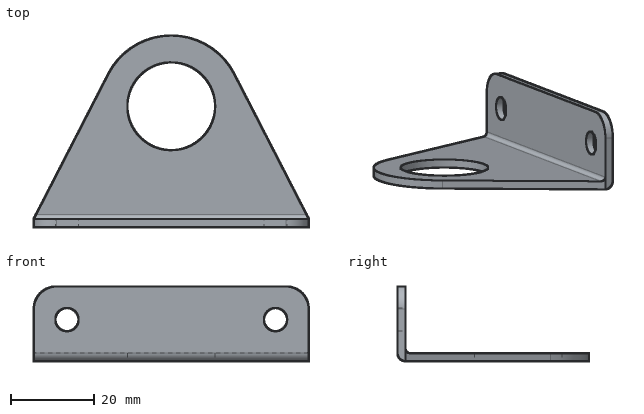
import cadquery as cq
import math

width = 66.0
flange_height = 18.0
thickness = 2.0
outer_bend_radius = 2.0
inner_bend_radius = 1.0
flange_corner_radius = 5.5

eye_center_y = 29.0
eye_outer_radius = 17.0
eye_hole_diameter = 21.0

mount_hole_diameter = 5.5
mount_hole_spacing = 50.0
mount_hole_height = 10.0

half_width = width / 2
eye_tip_y = eye_center_y + eye_outer_radius


def bent_strip():
    """L-shaped section with rounded bend, extruded over the full width."""
    inner_bend_end = thickness + inner_bend_radius
    outer_mid = outer_bend_radius * (1 - math.sqrt(0.5))
    inner_mid = thickness + inner_bend_radius * (1 - math.sqrt(0.5))
    return (
        cq.Workplane("YZ")
        .moveTo(outer_bend_radius, 0)
        .lineTo(eye_tip_y, 0)
        .lineTo(eye_tip_y, thickness)
        .lineTo(inner_bend_end, thickness)
        .threePointArc((inner_mid, inner_mid), (thickness, inner_bend_end))
        .lineTo(thickness, flange_height)
        .lineTo(0, flange_height)
        .lineTo(0, outer_bend_radius)
        .threePointArc((outer_mid, outer_mid), (outer_bend_radius, 0))
        .close()
        .extrude(half_width, both=True)
    )


def plan_outline():
    """Plan shape: straight flange, then sides tangent to the round eye."""
    run = eye_center_y - thickness
    corner_distance = math.hypot(half_width, run)
    tangent_angle = math.acos(eye_outer_radius / corner_distance) - math.atan2(run, half_width)
    tangent_x = eye_outer_radius * math.cos(tangent_angle)
    tangent_y = eye_center_y + eye_outer_radius * math.sin(tangent_angle)
    return (
        cq.Workplane("XY")
        .moveTo(-half_width, 0)
        .lineTo(half_width, 0)
        .lineTo(half_width, thickness)
        .lineTo(tangent_x, tangent_y)
        .threePointArc((0, eye_tip_y), (-tangent_x, tangent_y))
        .lineTo(-half_width, thickness)
        .close()
        .extrude(flange_height)
    )


def eye_hole():
    """Cutter for the large hole through the base plate."""
    return cq.Workplane("XY").center(0, eye_center_y).circle(eye_hole_diameter / 2).extrude(thickness)


def mount_holes():
    """Cutters for the two mounting holes through the flange."""
    half_spacing = mount_hole_spacing / 2
    return (
        cq.Workplane("XZ")
        .pushPoints([(-half_spacing, mount_hole_height), (half_spacing, mount_hole_height)])
        .circle(mount_hole_diameter / 2)
        .extrude(-thickness)
    )


bracket = bent_strip().intersect(plan_outline())
bracket = bracket.edges("|Y and >Z").edges("<X or >X").fillet(flange_corner_radius)
result = bracket.cut(eye_hole()).cut(mount_holes())